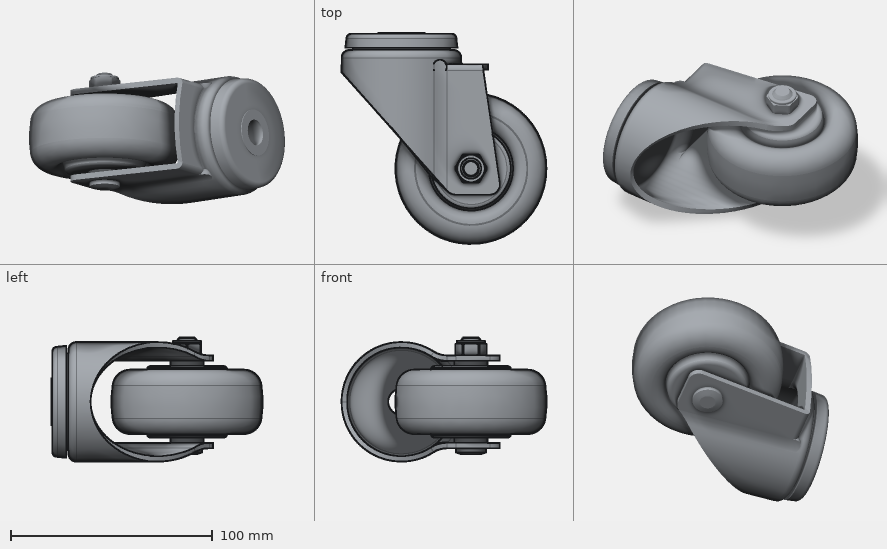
import cadquery as cq
import math


axle_x = 34.44
axle_depth = 67.14
sheet = 2.75
bolt_radius = 4.0

seat_radius = 11.55
seat_height = 0.4
head_top_radius = 24.6
head_shoulder_radius = 27.3
head_shoulder_depth = 2.8
head_rim_radius = 27.8
head_rim_depth = 7.1
head_bottom_depth = 7.45
neck_radius = 24.1
swivel_bore_radius = 6.45

cup_radius = 29.65
cup_top_depth = 8.4
cup_edge_fillet = 4.0
cup_inner_radius = cup_radius - sheet
cup_floor_depth = cup_top_depth + sheet

leg_outer = 23.05
leg_inner = leg_outer - sheet
leg_bend_radius = 12.0
leg_bend_z = leg_outer + leg_bend_radius
leg_bend_x = math.sqrt((cup_radius + leg_bend_radius) ** 2 - leg_bend_z**2)
leg_bend_angle = math.degrees(math.atan2(leg_bend_x, leg_bend_z))
leg_bottom_depth = 80.1
leg_top_back_x = 40.2
leg_bottom_back_x = 49.55
leg_front_corner_radius = 6.0
leg_back_corner_radius = 5.0
front_cut_depth = 19.47
front_cut_bottom_x = 24.3
front_cut_slope = (leg_bottom_depth - front_cut_depth) / (front_cut_bottom_x + cup_radius)
web_top_depth = 15.5
web_bottom_depth = web_top_depth + sheet
web_tip_x = 43.1
web_edge_outer_fillet = 3.05
web_edge_inner_fillet = web_edge_outer_fillet - sheet
cup_bend_outer_radius = 0.75
cup_bend_inner_radius = cup_bend_outer_radius + sheet
dome_radius = 3.4
dome_top_depth = 13.35

wheel_radius = 37.5
tread_edge_radius = 36.9
tread_edge_z = 8.15
tread_half_width = 16.0
land_outer_radius = 28.0
land_inner_radius = 27.6
dish_round_radius = 8.0
dish_root_radius = 20.9
hub_radius = 19.7
hub_half_width = 17.8
hub_flat_radius = 17.7
hub_edge_drop = 1.05
spacer_radius = 8.3

bolt_head_radius = 7.5
bolt_head_rim = 2.0
bolt_head_dome = 1.0
bolt_dome_share = 0.6
bolt_head_top_radius = 4.0
bolt_tip_z = 32.0
bolt_tip_chamfer = 0.45

nut_flats = 14.0
nut_corner_radius = 7.85
nut_edge_chamfer = 0.3
nut_hex_height = 5.7
nut_waist_radius = 6.75
nut_waist_height = 0.6
nut_collar_radius = 7.0
nut_collar_height = 1.0
nut_collar_fillet = 0.5
nut_cone_radius = 5.1
nut_cone_height = 1.2


def disc_below(depth, radius, height):
    """A cylinder on the swivel axis, reaching down from the given depth."""
    return cq.Workplane("XZ", origin=(0, -depth, 0)).circle(radius).extrude(height)


def make_swivel_head():
    """The round cover above the cup, with its raised seat and its narrower neck."""
    corner_run = math.sqrt(0.5)
    corner_radius = head_shoulder_radius - head_top_radius
    corner_height = head_shoulder_depth - seat_height
    corner_middle = (
        head_top_radius + corner_radius * corner_run,
        -head_shoulder_depth + corner_height * corner_run,
    )
    return (
        cq.Workplane("XY")
        .moveTo(0, 0)
        .lineTo(seat_radius, 0)
        .lineTo(seat_radius, -seat_height)
        .lineTo(head_top_radius, -seat_height)
        .threePointArc(corner_middle, (head_shoulder_radius, -head_shoulder_depth))
        .lineTo(head_rim_radius, -head_rim_depth)
        .lineTo(head_rim_radius, -head_bottom_depth)
        .lineTo(neck_radius, -head_bottom_depth)
        .lineTo(neck_radius, -cup_floor_depth)
        .lineTo(0, -cup_floor_depth)
        .close()
        .revolve(360, (0, 0, 0), (0, 1, 0))
    )


def leg_channel(half_width, bend_radius, top_depth):
    """The block between the outer or inner faces of the legs, flowing into the cup in two bends."""
    tangent_angle = math.radians(leg_bend_angle)
    tangent = bend_point(bend_radius, tangent_angle)
    middle = bend_point(bend_radius, tangent_angle / 2)
    far_x = leg_bottom_back_x + sheet
    return (
        cq.Workplane("XZ", origin=(0, -top_depth, 0))
        .moveTo(*tangent)
        .threePointArc(middle, (leg_bend_x, half_width))
        .lineTo(far_x, half_width)
        .lineTo(far_x, -half_width)
        .lineTo(leg_bend_x, -half_width)
        .threePointArc((middle[0], -middle[1]), (tangent[0], -tangent[1]))
        .close()
        .extrude(leg_bottom_depth - top_depth)
    )


def round_long_edges(channel, radius):
    """Rounds the top edges of a channel along its bends and straight sides."""
    return channel.faces(">Y").edges("not(<X or >X)").fillet(radius)


def bend_point(radius, angle):
    """The (X, Z) point on a round about the bend centre, turned from the leg towards the cup."""
    return (leg_bend_x - radius * math.sin(angle), leg_bend_z - radius * math.cos(angle))


def cup_to_web_corner(radius):
    """The material in the hollow of the bend from the cup wall to the web, for one bend radius."""
    centre_r = cup_radius + cup_bend_outer_radius
    centre_y = -web_top_depth + cup_bend_outer_radius
    diagonal = radius * math.sqrt(0.5)
    ring = (
        cq.Workplane("XY")
        .moveTo(centre_r - radius, centre_y)
        .lineTo(centre_r - radius, centre_y - radius)
        .lineTo(centre_r, centre_y - radius)
        .threePointArc((centre_r - diagonal, centre_y - diagonal), (centre_r - radius, centre_y))
        .close()
        .revolve(360, (0, 0, 0), (0, 1, 0))
    )
    between_legs = cq.Workplane("XY").box(
        2 * cup_radius, 2 * leg_bottom_depth, 2 * leg_inner, centered=(False, True, True)
    )
    return ring.intersect(between_legs)


def square_edge_cut(centre_x, centre_z, outer_radius, start_angle, end_angle):
    """Everything below the sloping front edge, along one curved stretch of sheet.

    The edge follows one slope on the outside of the sheet and stays square to the sheet through
    its thickness, so the face is ruled by level lines that point at the centre of the curve.
    Angles are in degrees from +X towards -Z, about the centre.
    """
    centre_y = -front_cut_depth - front_cut_slope * (centre_x + cup_radius)
    rims = []
    for radius in (outer_radius - 2 * sheet, outer_radius + 2 * sheet):
        rise = front_cut_slope * outer_radius / radius
        rims.append(
            cq.Edge.makeEllipse(
                radius * math.hypot(1, rise),
                radius,
                cq.Vector(centre_x, centre_y, centre_z),
                cq.Vector(rise, 1, 0),
                cq.Vector(1, -rise, 0),
                start_angle,
                end_angle,
            )
        )
    face = cq.Face.makeRuledSurface(*rims)
    return cq.Workplane(cq.Solid.extrudeLinear(face, cq.Vector(0, -2 * leg_bottom_depth, 0)))


def cut_front_edge(shell):
    """Trims the cup and both bends to the sloping front edge."""
    cup_end = 90 - leg_bend_angle
    shell = shell.cut(square_edge_cut(0, 0, cup_radius, cup_end, 180))
    shell = shell.cut(square_edge_cut(0, 0, cup_radius, 180, 360 - cup_end))
    shell = shell.cut(square_edge_cut(leg_bend_x, leg_bend_z, leg_bend_radius, 90, 90 + leg_bend_angle))
    return shell.cut(
        square_edge_cut(leg_bend_x, -leg_bend_z, leg_bend_radius, 270 - leg_bend_angle, 270)
    )


def make_leg_outline():
    """The side outline of the legs: rounded bottom corners and a leaning back edge."""
    side_depth = 2 * (cup_radius + sheet)
    ahead_of_legs = cq.Workplane("XY").box(
        cup_radius + leg_bend_x, leg_bottom_depth, side_depth
    ).translate(((leg_bend_x - cup_radius) / 2, -leg_bottom_depth / 2, 0))
    legs = (
        cq.Workplane("XY", origin=(0, 0, -side_depth / 2))
        .moveTo(-cup_radius, 0)
        .lineTo(-cup_radius, -front_cut_depth)
        .lineTo(front_cut_bottom_x, -leg_bottom_depth)
        .lineTo(leg_bottom_back_x, -leg_bottom_depth)
        .lineTo(leg_top_back_x, -web_top_depth)
        .lineTo(leg_top_back_x, 0)
        .close()
        .extrude(side_depth)
        .edges("|Z")
        .edges("<Y")
        .edges("<X")
        .fillet(leg_front_corner_radius)
        .edges("|Z")
        .edges(">X")
        .fillet(leg_back_corner_radius)
    )
    return legs.union(ahead_of_legs)


def make_web():
    """The flat plate between the legs, its back edge bulging in an arc."""
    return (
        cq.Workplane("XZ", origin=(0, -web_top_depth, 0))
        .moveTo(cup_inner_radius, -leg_inner)
        .lineTo(leg_top_back_x, -leg_inner)
        .threePointArc((web_tip_x, 0), (leg_top_back_x, leg_inner))
        .lineTo(cup_inner_radius, leg_inner)
        .close()
        .extrude(sheet)
    )


def make_domes():
    """The two pressed bulges where cup, leg and web meet."""
    dome_x = leg_bend_x - dome_radius
    dome_y = -(dome_top_depth + dome_radius)
    rounds = cq.Workplane("XY", origin=(dome_x, dome_y, 0)).circle(dome_radius)
    above_web = cq.Workplane("XY", origin=(dome_x, dome_y, 0)).box(
        2 * dome_radius, 2 * dome_radius, 2 * leg_inner
    )
    rounds = rounds.extrude(cup_radius, both=True).cut(above_web)
    return rounds.intersect(leg_channel(leg_outer, leg_bend_radius, dome_top_depth))


def make_fork():
    """The pressed fork: swivel head, cup, legs and web as one piece."""
    cup = disc_below(cup_top_depth, cup_radius, leg_bottom_depth - cup_top_depth)
    cup = cup.faces(">Y").edges().fillet(cup_edge_fillet)
    legs = leg_channel(leg_outer, leg_bend_radius, web_top_depth)
    legs = round_long_edges(legs, web_edge_outer_fillet)
    shell = cup.union(legs).intersect(make_leg_outline())
    shell = shell.union(make_web()).union(make_domes()).union(cup_to_web_corner(cup_bend_outer_radius))

    hollow = disc_below(cup_floor_depth, cup_inner_radius, leg_bottom_depth)
    hollow = hollow.faces(">Y").edges().fillet(cup_edge_fillet - sheet)
    gap = leg_channel(leg_inner, leg_bend_radius + sheet, web_bottom_depth)
    gap = round_long_edges(gap, web_edge_inner_fillet)
    shell = shell.cut(hollow).cut(gap).cut(cup_to_web_corner(cup_bend_inner_radius))

    shell = cut_front_edge(shell)

    swivel_bore = disc_below(0, swivel_bore_radius, cup_floor_depth)
    axle_hole = axle_cylinder(bolt_radius, -leg_outer, leg_outer)
    return shell.union(make_swivel_head()).cut(swivel_bore).cut(axle_hole)


def point_on_round(centre_x, centre_y, radius, angle):
    return (centre_x + radius * math.cos(angle), centre_y + radius * math.sin(angle))


def axle_plane(z):
    return cq.Workplane("XY", origin=(axle_x, -axle_depth, z))


def axle_cylinder(radius, bottom_z, top_z):
    return axle_plane(bottom_z).circle(radius).extrude(top_z - bottom_z)


def axle_revolve(outline):
    """Turns an outline of (radius, Z) about the axle."""
    return outline.close().revolve(360, (0, 0, 0), (0, 1, 0))


def axle_section():
    return cq.Workplane("XZ", origin=(axle_x, -axle_depth, 0))


def make_wheel():
    """The wheel and its hub: crowned tread, round shoulders, dished sides and spacers."""
    shoulder_drop = tread_half_width - tread_edge_z
    shoulder_run = tread_edge_radius - land_outer_radius
    shoulder_radius = (shoulder_run**2 + shoulder_drop**2) / (2 * shoulder_drop)
    shoulder_middle = point_on_round(
        land_outer_radius, tread_half_width - shoulder_radius, shoulder_radius, math.pi / 4
    )
    dish_centre_z = tread_half_width - dish_round_radius
    dish_angle = math.acos((dish_root_radius - land_inner_radius) / dish_round_radius)
    dish_root = point_on_round(land_inner_radius, dish_centre_z, dish_round_radius, dish_angle)
    dish_middle = point_on_round(
        land_inner_radius, dish_centre_z, dish_round_radius, (dish_angle + math.pi / 2) / 2
    )
    hub_run = hub_radius - hub_flat_radius
    hub_round_radius = (hub_run**2 + hub_edge_drop**2) / (2 * hub_edge_drop)
    hub_round_z = hub_half_width - hub_round_radius
    hub_edge_z = hub_half_width - hub_edge_drop
    hub_angle = (math.pi / 2 + math.acos(hub_run / hub_round_radius)) / 2
    hub_middle = point_on_round(hub_flat_radius, hub_round_z, hub_round_radius, hub_angle)

    def below(point):
        return (point[0], -point[1])

    outline = (
        axle_section()
        .moveTo(bolt_radius, leg_inner)
        .lineTo(spacer_radius, leg_inner)
        .lineTo(spacer_radius, hub_half_width)
        .lineTo(hub_flat_radius, hub_half_width)
        .threePointArc(hub_middle, (hub_radius, hub_edge_z))
        .lineTo(*dish_root)
        .threePointArc(dish_middle, (land_inner_radius, tread_half_width))
        .lineTo(land_outer_radius, tread_half_width)
        .threePointArc(shoulder_middle, (tread_edge_radius, tread_edge_z))
        .threePointArc((wheel_radius, 0), (tread_edge_radius, -tread_edge_z))
        .threePointArc(below(shoulder_middle), (land_outer_radius, -tread_half_width))
        .lineTo(land_inner_radius, -tread_half_width)
        .threePointArc(below(dish_middle), below(dish_root))
        .lineTo(hub_radius, -hub_edge_z)
        .threePointArc(below(hub_middle), (hub_flat_radius, -hub_half_width))
        .lineTo(spacer_radius, -hub_half_width)
        .lineTo(spacer_radius, -leg_inner)
        .lineTo(bolt_radius, -leg_inner)
    )
    return axle_revolve(outline)


def make_bolt():
    """The axle bolt, with a low domed head under the lower leg and a chamfered tip."""
    rim_z = -leg_outer - bolt_head_rim
    shank = axle_cylinder(bolt_radius, -leg_outer, bolt_tip_z).faces(">Z").chamfer(bolt_tip_chamfer)
    top_z = rim_z - bolt_head_dome
    middle_z = rim_z - bolt_head_dome * bolt_dome_share
    middle_radius = (bolt_head_radius + bolt_head_top_radius) / 2
    outline = (
        axle_section()
        .moveTo(0, -leg_outer)
        .lineTo(bolt_head_radius, -leg_outer)
        .lineTo(bolt_head_radius, rim_z)
        .threePointArc((middle_radius, middle_z), (bolt_head_top_radius, top_z))
        .lineTo(0, top_z)
    )
    return shank.union(axle_revolve(outline))


def make_nut():
    """The lock nut: a hexagon with a waist, a round collar and a conical mouth above it."""
    waist_z = leg_outer + nut_hex_height
    collar_z = waist_z + nut_waist_height
    cone_z = collar_z + nut_collar_height
    hexagon = axle_plane(leg_outer).polygon(6, nut_flats / math.cos(math.pi / 6)).extrude(nut_hex_height)
    corner_round = axle_cylinder(nut_corner_radius, leg_outer, waist_z).edges().chamfer(nut_edge_chamfer)
    waist = axle_cylinder(nut_waist_radius, leg_outer, collar_z)
    collar = axle_cylinder(nut_collar_radius, collar_z, cone_z).faces(">Z").edges().fillet(nut_collar_fillet)
    mouth = (
        axle_plane(cone_z)
        .circle(nut_cone_radius)
        .workplane(offset=nut_cone_height)
        .circle(bolt_radius)
        .loft()
    )
    thread_hole = axle_cylinder(bolt_radius, leg_outer, bolt_tip_z)
    return hexagon.intersect(corner_round).union(waist).union(collar).union(mouth).cut(thread_hole)


fork = make_fork()
wheel = make_wheel()
bolt = make_bolt()
nut = make_nut()

result = cq.Compound.makeCompound([fork.val(), wheel.val(), bolt.val(), nut.val()])